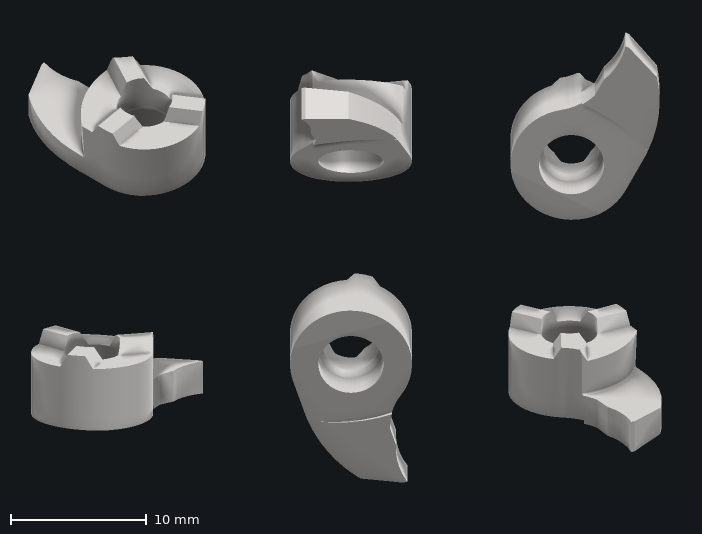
import cadquery as cq
import math

hub_radius = 4.5
shoulder_height = 4.74
overall_height = 5.73

hole_radius = 2.07
recess_radius = 2.4
recess_depth = 2.25
flare_top = 2.84

dog_count = 3
dog_top_width = 1.35
dog_flank_angle = 30.0
first_dog_angle = 30.0

nose_x = hub_radius - 15.0
nose_top_y = 1.0
nose_bottom_y = 0.7
heel = (-9.28, -2.24)
belly_tangent_x = -2.94
seam_x = -7.34
arm_back_y = 1.14
rake_middle = (-9.03, 0.81)
neck_start_x = -5.9
neck_middle = (-4.66, 1.71)
neck_end_y = 2.76

arm_mid_z = 0.87
nose_half_thickness = 1.25
taper_x = 0.022
taper_y = 0.046

upper_wall_radius = 6.75
upper_wall_x = 2.04
upper_wall_y = 0.92
upper_wall_z = 1.95
upper_wall_lean = 0.054
lower_wall_radius = 12.15
lower_wall_x = 7.35
lower_wall_y = 0.9
upper_wall_fillet = 0.15

relief_start_x = 2.55
relief_rise = 0.09

block_size = 45.0


def outline(bottom, top):
    """Prism over the whole outline, arm and hub, between two heights."""
    belly_dx = belly_tangent_x - heel[0]
    belly_dy = heel[1] + hub_radius
    belly_radius = (belly_dx**2 + belly_dy**2) / (2 * belly_dy)
    half_angle = math.asin(belly_dx / belly_radius) / 2
    belly_middle = (
        belly_tangent_x - belly_radius * math.sin(half_angle),
        -hub_radius + belly_radius * (1 - math.cos(half_angle)),
    )
    neck_end = (-math.sqrt(hub_radius**2 - neck_end_y**2), neck_end_y)
    return (
        cq.Workplane("XY", origin=(0, 0, bottom))
        .moveTo(nose_x, nose_top_y)
        .lineTo(nose_x, nose_bottom_y)
        .lineTo(*heel)
        .threePointArc(belly_middle, (belly_tangent_x, -hub_radius))
        .lineTo(0, -hub_radius)
        .threePointArc((hub_radius, 0), (0, hub_radius))
        .radiusArc(neck_end, -hub_radius)
        .threePointArc(neck_middle, (neck_start_x, arm_back_y))
        .lineTo(seam_x, arm_back_y)
        .threePointArc(rake_middle, (nose_x, nose_top_y))
        .close()
        .extrude(top - bottom)
    )


def wall_cylinder(radius, x, y, z, lean):
    """Long cylinder through (x, y, z) whose axis shifts toward -Y by lean per unit of height."""
    axis = cq.Plane(origin=(x, y, z), xDir=(1, 0, 0), normal=(0, -lean, 1))
    return cq.Workplane(axis).circle(radius).extrude(block_size, both=True)


def beyond_arm_face(side):
    """Everything above (side = 1) or below (side = -1) the arm."""
    face = cq.Plane(
        origin=(nose_x, nose_top_y, arm_mid_z + side * nose_half_thickness),
        xDir=(1, 0, -side * taper_x),
        normal=(taper_x, -taper_y, side),
    )
    return cq.Workplane(face).rect(block_size, block_size).extrude(block_size)


def space_over_arm(wall):
    """Space over the arm, up to the shoulder wall with its rounded foot."""
    space = beyond_arm_face(1).cut(wall)
    foot = [edge for edge in space.faces("<Z").edges().vals() if edge.geomType() != "LINE"]
    return space.newObject(foot).fillet(upper_wall_fillet)


def dogs():
    """Radial ridges with sloping flanks, standing on the shoulder face."""
    height = overall_height - shoulder_height
    half_top = dog_top_width / 2
    half_base = half_top + height * math.tan(math.radians(dog_flank_angle))
    ridge = (
        cq.Workplane("YZ")
        .polyline([
            (-half_base, shoulder_height),
            (half_base, shoulder_height),
            (half_top, overall_height),
            (-half_top, overall_height),
        ])
        .close()
        .extrude(2 * hub_radius)
    )
    ridges = cq.Workplane("XY")
    for index in range(dog_count):
        angle = first_dog_angle + index * 360 / dog_count
        ridges = ridges.union(ridge.rotate((0, 0, 0), (0, 0, 1), angle))
    return ridges.intersect(outline(shoulder_height, overall_height))


def hole():
    """Through hole with its flare and bottom recess."""
    return (
        cq.Workplane("XZ")
        .polyline([
            (0, 0),
            (recess_radius, 0),
            (recess_radius, recess_depth),
            (hole_radius, flare_top),
            (hole_radius, overall_height),
            (0, overall_height),
        ])
        .close()
        .revolve(360, (0, 0, 0), (0, 1, 0))
    )


def hub_relief():
    """Thin wedge removed from the underside."""
    return (
        cq.Workplane("XZ")
        .polyline([(relief_start_x, 0), (hub_radius, 0), (hub_radius, relief_rise)])
        .close()
        .extrude(hub_radius, both=True)
    )


def insert_shape():
    """Complete insert before it is parted at the seam."""
    upper_wall = wall_cylinder(
        upper_wall_radius, upper_wall_x, upper_wall_y, upper_wall_z, upper_wall_lean
    )
    lower_wall = wall_cylinder(lower_wall_radius, lower_wall_x, lower_wall_y, 0, 0)
    lowest = arm_mid_z - nose_half_thickness
    arm_foot = outline(lowest, 0).cut(lower_wall)
    return (
        outline(0, shoulder_height)
        .union(arm_foot)
        .union(dogs())
        .cut(space_over_arm(upper_wall))
        .cut(beyond_arm_face(-1).cut(lower_wall))
        .cut(hole())
        .cut(hub_relief())
    )


insert = insert_shape()
tip_side = cq.Workplane("YZ", origin=(seam_x, 0, 0)).rect(block_size, block_size).extrude(-block_size)
cutting_tip = insert.intersect(tip_side)
holder_body = insert.cut(tip_side)

result = cq.Compound.makeCompound([*holder_body.vals(), *cutting_tip.vals()])